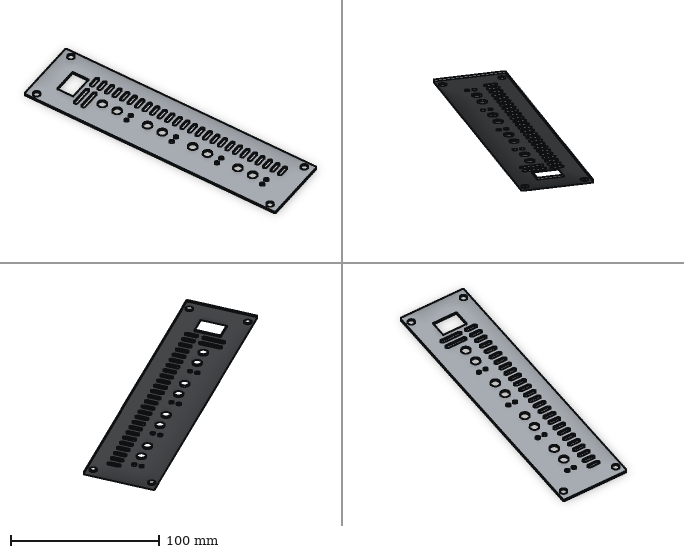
import cadquery as cq

PANEL_LENGTH = 203.0
PANEL_WIDTH = 51.0
PANEL_THICKNESS = 1.6
CORNER_RADIUS = 1.0

MOUNT_DIAMETER = 5.3
MOUNT_EDGE_X = 7.1
MOUNT_EDGE_Y = 4.5

WINDOW_LENGTH = 13.0
WINDOW_WIDTH = 19.0
WINDOW_X = -79.0

SLOT_WIDTH = 3.0
FIRST_SLOT_X = -67.8
LAST_SLOT_X = 84.2
SHORT_SLOT_COUNT = 26
SLOT_PITCH = (LAST_SLOT_X - FIRST_SLOT_X) / (SHORT_SLOT_COUNT - 1)
SHORT_SLOT_LENGTH = 9.3
SHORT_SLOT_Y = 9.7
LONG_SLOT_COUNT = 2
LONG_SLOT_LENGTH = 16.6
LONG_SLOT_Y = -6.3

CHANNEL_COUNT = 4
CHANNEL_PITCH = 36.5
FIRST_JACK_X = -52.2
JACK_DIAMETER = 6.7
JACK_SPACING = 12.0
JACK_Y = -4.5
INDICATOR_DIAMETER = 3.2
INDICATOR_OFFSET_X = 22.1
INDICATOR_SPACING = 5.3
INDICATOR_CENTRE_Y = -5.7


def make_panel():
    """Flat plate with rounded corners."""
    plate = cq.Workplane("XY").box(
        PANEL_LENGTH, PANEL_WIDTH, PANEL_THICKNESS, centered=(True, True, False)
    )
    return plate.edges("|Z").fillet(CORNER_RADIUS)


def round_holes(points, diameter):
    """Through cutters for round holes at the given centres."""
    return cq.Workplane("XY").pushPoints(points).circle(diameter / 2).extrude(PANEL_THICKNESS)


def slot_row(count, length, y):
    """Through cutters for a row of upright round-ended slots."""
    centres = [(FIRST_SLOT_X + i * SLOT_PITCH, y) for i in range(count)]
    return cq.Workplane("XY").pushPoints(centres).slot2D(length, SLOT_WIDTH, 90).extrude(PANEL_THICKNESS)


def mounting_holes():
    x = PANEL_LENGTH / 2 - MOUNT_EDGE_X
    y = PANEL_WIDTH / 2 - MOUNT_EDGE_Y
    return round_holes([(-x, -y), (x, -y), (-x, y), (x, y)], MOUNT_DIAMETER)


def switch_window():
    outline = cq.Workplane("XY").center(WINDOW_X, 0).rect(WINDOW_LENGTH, WINDOW_WIDTH)
    return outline.extrude(PANEL_THICKNESS)


channel_starts = [FIRST_JACK_X + i * CHANNEL_PITCH for i in range(CHANNEL_COUNT)]
jack_centres = [(x + dx, JACK_Y) for x in channel_starts for dx in (0, JACK_SPACING)]
indicator_centres = [
    (x + INDICATOR_OFFSET_X, INDICATOR_CENTRE_Y + side * INDICATOR_SPACING / 2)
    for x in channel_starts
    for side in (-1, 1)
]

result = (
    make_panel()
    .cut(mounting_holes())
    .cut(switch_window())
    .cut(slot_row(SHORT_SLOT_COUNT, SHORT_SLOT_LENGTH, SHORT_SLOT_Y))
    .cut(slot_row(LONG_SLOT_COUNT, LONG_SLOT_LENGTH, LONG_SLOT_Y))
    .cut(round_holes(jack_centres, JACK_DIAMETER))
    .cut(round_holes(indicator_centres, INDICATOR_DIAMETER))
)